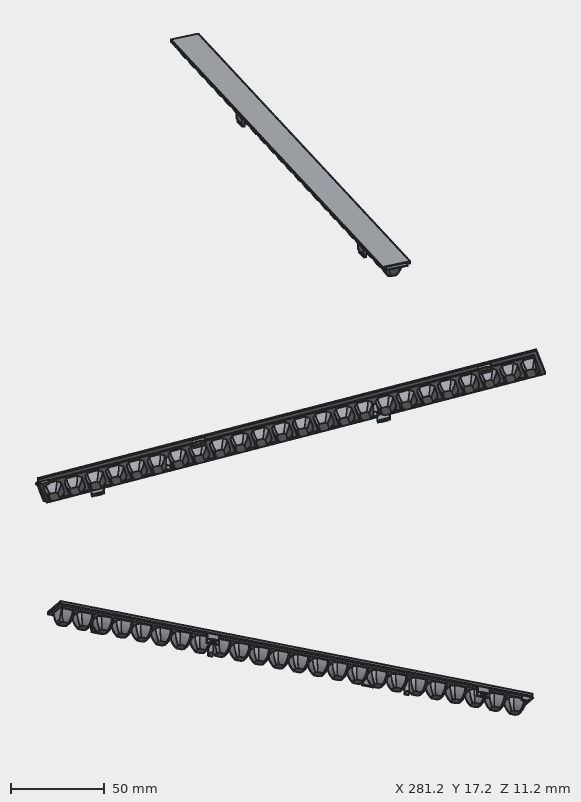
import cadquery as cq

total_length = 281.2
end_nub_reach = 0.5
tongue_reach = 1.0
plate_length = total_length - tongue_reach - end_nub_reach
plate_width = 16.0
plate_thickness = 1.5

strip_setback = 2.0
strip_width = 11.8
strip_bottom = -2.5

lens_count = 24
first_lens_x = 5.3
last_lens_x = 272.8
lens_pitch = (last_lens_x - first_lens_x) / (lens_count - 1)
lens_top_half = 4.8
lens_mid_half = 4.2
lens_mid_z = -6.2
lens_bottom_half = 2.5
lens_bottom_z = -9.3
corner_facet_ratio = 1.15

hook_to_hook_width = 17.2
clip_pitch = 160.3
front_clip_x = 90.3
rear_clip_x = 29.0
clip_count_per_side = 2
clip_width = 6.8
clip_leg_inner_y = 6.2
clip_leg_outer_y = 7.5
clip_bottom = -7.0
clip_pad_y = 8.2
clip_pad_top = -1.7
clip_pad_bottom = -5.0
hook_y = hook_to_hook_width / 2
hook_width = 3.5
hook_top = -5.0
hook_bottom = -6.5
hook_tip_height = 0.8

pin_positions_x = (92.5, 208.7)
pin_width = 2.2
pin_half_depth = 1.7
pin_tip_z = -11.2
pin_shoulder_z = pin_tip_z + pin_half_depth

tongue_start_x = 274.2
tongue_width = 12.5
tongue_top = -0.5
tongue_nose_top = -1.5
tongue_nose_bottom = -1.7
tongue_heel_x = 277.3
tongue_heel_z = -3.7
nub_y = 5.5
nub_width = 0.5


def block(x_min, x_max, y_min, y_max, z_min, z_max):
    size = (x_max - x_min, y_max - y_min, z_max - z_min)
    return cq.Workplane("XY").box(*size, centered=False).translate((x_min, y_min, z_min))


def lens_prism(half_width_ratio):
    """Curved lens profile in XZ, extruded along Y; rotated copies form the facets."""
    top = lens_top_half * half_width_ratio
    middle = lens_mid_half * half_width_ratio
    bottom = lens_bottom_half * half_width_ratio
    return (
        cq.Workplane("XZ")
        .moveTo(-top, -plate_thickness)
        .lineTo(top, -plate_thickness)
        .threePointArc((middle, lens_mid_z), (bottom, lens_bottom_z))
        .lineTo(-bottom, lens_bottom_z)
        .threePointArc((-middle, lens_mid_z), (-top, -plate_thickness))
        .close()
        .extrude(2 * lens_top_half, both=True)
    )


def make_lens():
    """Eight-sided dome: two square-on prisms and two diagonal ones, intersected."""
    lens = lens_prism(1.0)
    for angle, ratio in ((90, 1.0), (45, corner_facet_ratio), (-45, corner_facet_ratio)):
        lens = lens.intersect(lens_prism(ratio).rotate((0, 0, 0), (0, 0, 1), angle))
    return lens


def make_clip():
    """Snap clip on the -Y side, centred on X = 0."""
    half = clip_width / 2
    leg = block(-half, half, -clip_leg_outer_y, -clip_leg_inner_y, clip_bottom, -plate_thickness / 2)
    pad = block(-half, half, -clip_pad_y, -clip_leg_outer_y, clip_pad_bottom, clip_pad_top)
    hook = (
        cq.Workplane("YZ")
        .polyline([
            (-clip_leg_outer_y, hook_top),
            (-hook_y, hook_top),
            (-hook_y, hook_top - hook_tip_height),
            (-clip_leg_outer_y, hook_bottom),
        ])
        .close()
        .extrude(hook_width / 2, both=True)
    )
    return leg.union(pad).union(hook)


def make_pin():
    """Round-ended post that narrows to a ridge along X."""
    post = (
        cq.Workplane("XY")
        .workplane(offset=pin_tip_z)
        .slot2D(2 * pin_half_depth, pin_width, 90)
        .extrude(-pin_tip_z - plate_thickness)
    )
    wedge = (
        cq.Workplane("YZ")
        .polyline([
            (-pin_half_depth, -plate_thickness),
            (pin_half_depth, -plate_thickness),
            (pin_half_depth, pin_shoulder_z),
            (0, pin_tip_z),
            (-pin_half_depth, pin_shoulder_z),
        ])
        .close()
        .extrude(pin_width, both=True)
    )
    return post.intersect(wedge)


def make_end_tongue():
    """Tongue sloping to a thin nose, with a small nub that reaches the full length."""
    nose_x = plate_length + tongue_reach
    tongue = (
        cq.Workplane("XZ")
        .polyline([
            (tongue_start_x, tongue_top),
            (plate_length, tongue_top),
            (nose_x, tongue_nose_top),
            (nose_x, tongue_nose_bottom),
            (tongue_heel_x, tongue_heel_z),
            (tongue_start_x, tongue_heel_z),
        ])
        .close()
        .extrude(tongue_width / 2, both=True)
    )
    nub = block(
        plate_length, total_length,
        nub_y - nub_width / 2, nub_y + nub_width / 2,
        tongue_nose_bottom, tongue_nose_top,
    )
    return tongue.union(nub)


plate = block(0, plate_length, -plate_width / 2, plate_width / 2, -plate_thickness, 0)
strip = block(strip_setback, plate_length, -strip_width / 2, strip_width / 2, strip_bottom, -plate_thickness)
result = plate.union(strip)

lens = make_lens()
end_trim = block(-lens_top_half, strip_setback, -plate_width / 2, plate_width / 2, pin_tip_z, -plate_thickness)
result = result.union(lens.translate((first_lens_x, 0, 0)).cut(end_trim))
for index in range(1, lens_count):
    result = result.union(lens.translate((first_lens_x + index * lens_pitch, 0, 0)))

front_clip = make_clip()
rear_clip = front_clip.mirror("XZ")
for index in range(clip_count_per_side):
    result = result.union(front_clip.translate((front_clip_x + index * clip_pitch, 0, 0)))
    result = result.union(rear_clip.translate((rear_clip_x + index * clip_pitch, 0, 0)))

for pin_x in pin_positions_x:
    result = result.union(make_pin().translate((pin_x, 0, 0)))

result = result.union(make_end_tongue())